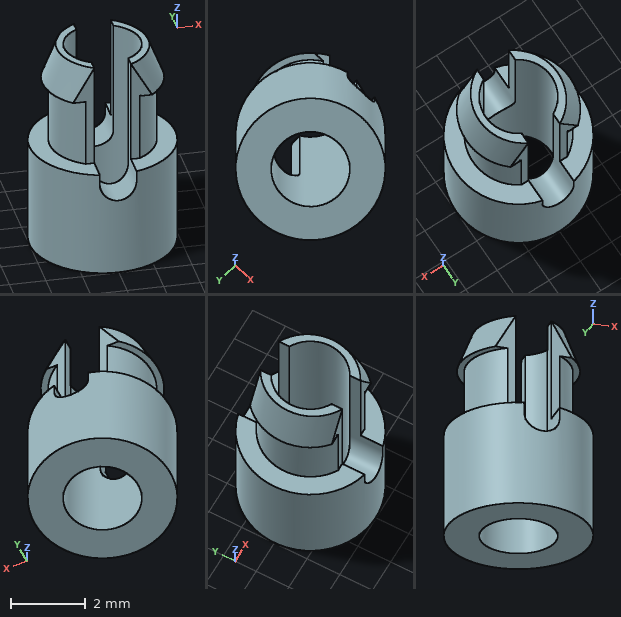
import cadquery as cq
import math

total_height = 5.9
base_diameter = 4.0
base_height = 3.0
bore_diameter = 2.1
post_diameter = 2.9
post_width = 2.5
slot_width = 1.005
slot_bottom = 2.2
head_height = 1.005
head_diameter = 3.305
tip_span = 2.5

head_bottom = total_height - head_height
half_width = post_width / 2
half_slot = slot_width / 2
head_radius = head_diameter / 2
shoulder_corner = math.sqrt(head_radius**2 - half_width**2)


def make_base():
    return cq.Workplane("XY").circle(base_diameter / 2).extrude(base_height)


def make_post():
    """Round post with two flats facing +Y and -Y."""
    post = cq.Workplane("XY").circle(post_diameter / 2).extrude(head_bottom)
    flats = cq.Workplane("XY").rect(post_diameter, post_width).extrude(head_bottom)
    return post.intersect(flats)


def make_head():
    """Catch of the +X prong: a ruled slope between the shoulder arc and the tip arc."""
    slope = (
        cq.Workplane("XY").workplane(offset=head_bottom)
        .moveTo(shoulder_corner, -half_width)
        .threePointArc((head_radius, 0), (shoulder_corner, half_width))
        .close()
        .workplane(offset=head_height)
        .moveTo(half_slot, -half_width)
        .threePointArc((tip_span / 2, 0), (half_slot, half_width))
        .close()
        .loft(ruled=True)
    )
    core = (
        cq.Workplane("XZ")
        .moveTo(half_slot, head_bottom)
        .lineTo(shoulder_corner, head_bottom)
        .lineTo(half_slot, total_height)
        .close()
        .extrude(half_width, both=True)
    )
    return slope.union(core)


def make_slot():
    """Slot along Y with a round bottom, open at the top."""
    round_center = slot_bottom + half_slot
    return (
        cq.Workplane("XZ")
        .moveTo(-half_slot, total_height)
        .lineTo(-half_slot, round_center)
        .threePointArc((0, slot_bottom), (half_slot, round_center))
        .lineTo(half_slot, total_height)
        .close()
        .extrude(base_diameter, both=True)
    )


head = make_head()
bore = cq.Workplane("XY").circle(bore_diameter / 2).extrude(total_height)

body = make_base().union(make_post())
body = body.union(head).union(head.mirror("YZ"))
result = body.cut(bore).cut(make_slot())